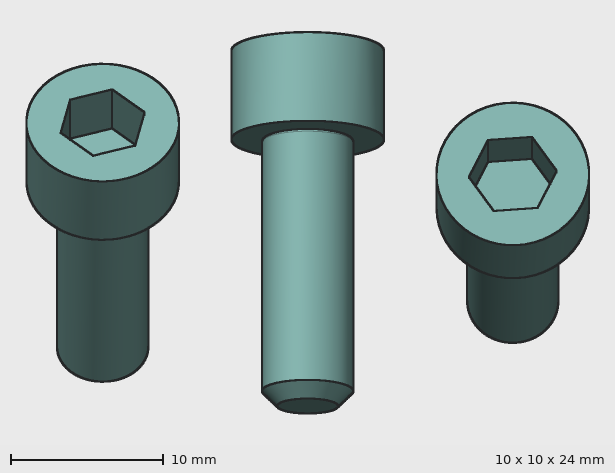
import cadquery as cq
import math

total_length = 24.0
head_diameter = 10.0
head_height = 6.0
shank_diameter = 6.0
shank_length = total_length - head_height

tip_chamfer = 1.0
neck_fillet = 0.2

socket_across_flats = 5.0
socket_depth = head_height * 2 / 3


def make_head():
    """Plain cylinder standing on the seating plane at Z = 0."""
    return cq.Workplane("XY").circle(head_diameter / 2).extrude(head_height)


def make_shank():
    """Cylinder below the seating plane with a chamfered tip and a rounded edge under the head."""
    shank = cq.Workplane("XY").circle(shank_diameter / 2).extrude(-shank_length)
    shank = shank.faces("<Z").chamfer(tip_chamfer)
    return shank.faces(">Z").edges().fillet(neck_fillet)


def make_socket():
    """Flat-bottomed hexagonal prism sunk from the top of the head."""
    across_corners = socket_across_flats / math.cos(math.pi / 6)
    return (
        cq.Workplane("XY", origin=(0, 0, head_height))
        .polygon(6, across_corners)
        .extrude(-socket_depth)
    )


result = make_head().union(make_shank()).cut(make_socket())